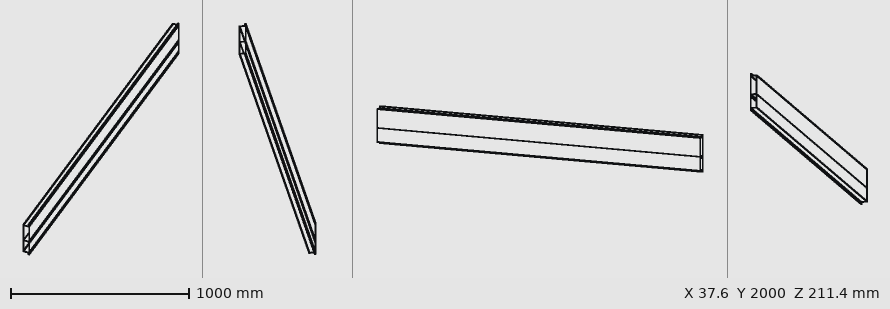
import cadquery as cq

length = 2000.0
depth = 37.6
height = 211.4

face_thickness = 3.2
sheet = 0.5
upright_thickness = 2.0

tray_height = 188.4
lip_length = 3.0
shelf_top = -13.6
stiffener_height = 13.4

front = -depth / 2
back = depth / 2
back_inner = back - sheet
face_inner = front + face_thickness
upright_front = back_inner - upright_thickness
lip_start = upright_front - lip_length
tray_top = tray_height / 2
rim_top = height / 2


def bar(x_start, x_end, z_start, z_end):
    """Full-length bar with a rectangular section in XZ, centred on Y."""
    width = x_end - x_start
    rise = z_end - z_start
    block = cq.Workplane("XY").box(width, length, rise, centered=(False, True, False))
    return block.translate((x_start, 0, z_start))


def make_upper_rim():
    """Rim standing up from the top flange of the tray, ending in a lip turned towards -X."""
    upright = bar(upright_front, back_inner, tray_top - sheet, rim_top)
    lip = bar(lip_start, back_inner, rim_top - sheet, rim_top)
    return upright.union(lip)


def make_tray():
    """Hat section open towards +X: front face, two flanges, and a lipped rim on each flange."""
    outside = bar(front, back_inner, -tray_top, tray_top)
    hollow = bar(face_inner, back_inner, -tray_top + sheet, tray_top - sheet)
    upper_rim = make_upper_rim()
    lower_rim = upper_rim.mirror("XY")
    return outside.cut(hollow).union(upper_rim).union(lower_rim)


def make_back_sheet():
    """Flat sheet lying against the rims and closing the tray."""
    return bar(back_inner, back, -rim_top, rim_top)


def make_stiffener():
    """Angle inside the tray: a shelf across the hollow and a leg down the back sheet."""
    shelf_bottom = shelf_top - sheet
    leg_bottom = shelf_top - stiffener_height
    shelf = bar(face_inner, back_inner, shelf_bottom, shelf_top)
    leg = bar(upright_front, back_inner, leg_bottom, shelf_bottom)
    return shelf.union(leg)


tray = make_tray()
back_sheet = make_back_sheet()
stiffener = make_stiffener()

result = cq.Compound.makeCompound([tray.val(), back_sheet.val(), stiffener.val()])